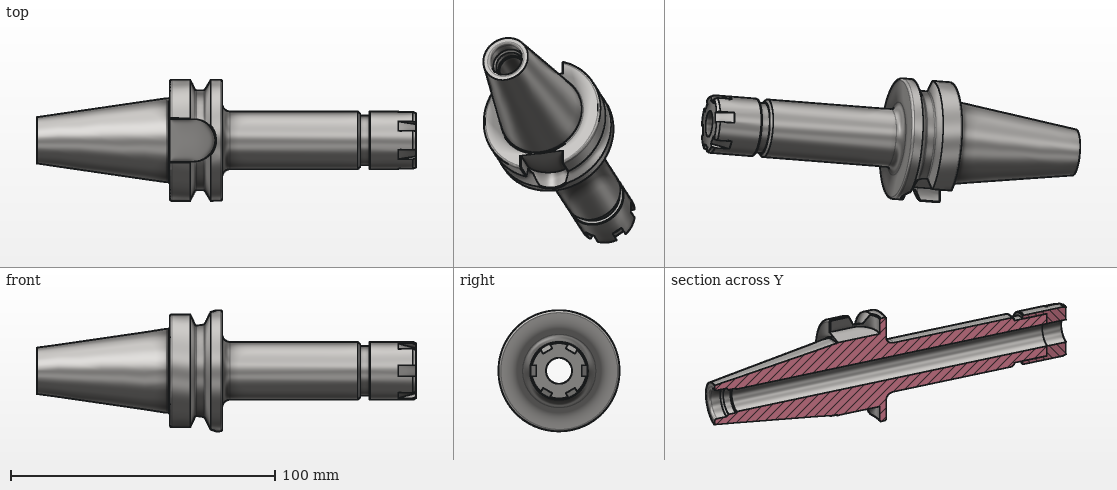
import cadquery as cq
import math


total_length = 143.6
taper_end = 49.0
flange_start = 50.3
groove_start = 58.0
groove_floor_start = 60.0
groove_floor_end = 63.5
groove_end = 65.9
flange_end = 70.2
shank_end = 122.5
nut_start = 125.8

taper_large_radius = 16.0
taper_ratio = 7 / 24
taper_small_radius = taper_large_radius - taper_end * taper_ratio / 2
flange_radius = 23.0
groove_floor_radius = 19.0
shank_radius = 22.0 / 2
spigot_radius = 9.5
bore_radius = 4.9

flange_edge_fillet = 0.9
groove_root_fillet = 0.6
neck_root_fillet = 0.5
drive_slot_chamfer = 0.5
shank_root_fillet = 2.9
shank_end_chamfer = 1.0

mouth_radius = 7.2
counterbore_radius = 6.2
counterbore_depth = 4.9
thread_radius = 5.3
thread_depth = 8.6

drive_slot_width = 16.1
drive_slot_end = 67.5
drive_slot_floor = 16.2

nut_start_chamfer_length = 0.5
nut_start_chamfer_height = 0.22
nut_end_chamfer_length = 1.3
nut_end_chamfer_height = 0.6
nut_front_wall = 7.8
wrench_slot_count = 6
wrench_slot_width = 4.0
wrench_slot_start = 136.7
wrench_slot_start_radius = 10.8
wrench_slot_end_radius = 8.6

spigot_end = total_length - nut_front_wall

selection_margin = 0.1


def circles_centred_at(position):
    """Selector for the circular edges whose centre is on the X axis at this position."""
    margin = selection_margin
    return cq.selectors.BoxSelector(
        (position - margin, -margin, -margin), (position + margin, margin, margin)
    )


def turned_holder():
    """Revolved outside of the holder: taper, grooved flange, shank and spigot."""
    fillet_drop = shank_root_fillet * (1 - math.sqrt(0.5))
    profile = (
        cq.Workplane("XY")
        .moveTo(0, 0)
        .lineTo(0, taper_small_radius)
        .lineTo(taper_end, taper_large_radius)
        .lineTo(flange_start - neck_root_fillet, taper_large_radius)
        .radiusArc((flange_start, taper_large_radius + neck_root_fillet), -neck_root_fillet)
        .lineTo(flange_start, flange_radius - flange_edge_fillet)
        .radiusArc((flange_start + flange_edge_fillet, flange_radius), flange_edge_fillet)
        .lineTo(groove_start, flange_radius)
        .lineTo(groove_floor_start, groove_floor_radius)
        .lineTo(groove_floor_end, groove_floor_radius)
        .lineTo(groove_end, flange_radius)
        .lineTo(flange_end - flange_edge_fillet, flange_radius)
        .radiusArc((flange_end, flange_radius - flange_edge_fillet), flange_edge_fillet)
        .lineTo(flange_end, shank_radius + shank_root_fillet)
        .threePointArc(
            (flange_end + fillet_drop, shank_radius + fillet_drop),
            (flange_end + shank_root_fillet, shank_radius),
        )
        .lineTo(shank_end - shank_end_chamfer, shank_radius)
        .lineTo(shank_end, shank_radius - shank_end_chamfer)
        .lineTo(shank_end, spigot_radius)
        .lineTo(spigot_end, spigot_radius)
        .lineTo(spigot_end, 0)
        .close()
    )
    body = profile.revolve(360, (0, 0, 0), (1, 0, 0))
    for corner in (groove_floor_start, groove_floor_end):
        body = body.edges(circles_centred_at(corner)).fillet(groove_root_fillet)
    return body


def drawbar_hole():
    """Rounded mouth, counterbore, thread bore and through bore, as one cutting tool."""
    mouth_rounding = mouth_radius - counterbore_radius
    return (
        cq.Workplane("XY")
        .moveTo(0, 0)
        .lineTo(0, mouth_radius)
        .radiusArc((mouth_rounding, counterbore_radius), -mouth_rounding)
        .lineTo(counterbore_depth, counterbore_radius)
        .lineTo(counterbore_depth + counterbore_radius - thread_radius, thread_radius)
        .lineTo(thread_depth, thread_radius)
        .lineTo(thread_depth + thread_radius - bore_radius, bore_radius)
        .lineTo(spigot_end, bore_radius)
        .lineTo(spigot_end, 0)
        .close()
        .revolve(360, (0, 0, 0), (1, 0, 0))
    )


def drive_slot():
    """Cutter for the upper drive slot: open at the taper side, round at the other end."""
    half_width = drive_slot_width / 2
    round_start = drive_slot_end - half_width
    return (
        cq.Workplane("XY", origin=(0, 0, drive_slot_floor))
        .moveTo(flange_start, -half_width)
        .lineTo(round_start, -half_width)
        .threePointArc((drive_slot_end, 0), (round_start, half_width))
        .lineTo(flange_start, half_width)
        .close()
        .extrude(flange_radius)
    )


def chamfer_drive_slot_rim(holder, angle):
    """Break the edges where one drive slot runs out through the flange cylinder."""
    half_width = drive_slot_width / 2 + selection_margin
    side = math.cos(math.radians(angle))
    rim_bottom = side * math.sqrt(flange_radius**2 - half_width**2)
    rim_top = side * (flange_radius + selection_margin)
    straight_edges = (flange_start + flange_edge_fillet, groove_start)
    round_edge = (groove_end, drive_slot_end)
    for start, end in (straight_edges, round_edge):
        rim = cq.selectors.BoxSelector(
            (start - selection_margin, -half_width, rim_bottom),
            (end + selection_margin, half_width, rim_top),
            boundingbox=True,
        )
        holder = holder.edges(rim).chamfer(drive_slot_chamfer)
    return holder


def make_holder():
    holder = turned_holder().cut(drawbar_hole())
    for angle in (0, 180):
        holder = holder.cut(drive_slot().rotate((0, 0, 0), (1, 0, 0), angle))
        holder = chamfer_drive_slot_rim(holder, angle)
    return holder


def wrench_slot():
    """Cutter for the wrench slot on the +Y side; its floor slopes inward toward the front."""
    return (
        cq.Workplane("XY")
        .moveTo(wrench_slot_start, wrench_slot_start_radius)
        .lineTo(total_length, wrench_slot_end_radius)
        .lineTo(total_length, flange_radius)
        .lineTo(wrench_slot_start, flange_radius)
        .close()
        .extrude(wrench_slot_width / 2, both=True)
    )


def make_nut():
    nut = (
        cq.Workplane("XY")
        .moveTo(nut_start, spigot_radius)
        .lineTo(nut_start, shank_radius - nut_start_chamfer_height)
        .lineTo(nut_start + nut_start_chamfer_length, shank_radius)
        .lineTo(total_length - nut_end_chamfer_length, shank_radius)
        .lineTo(total_length, shank_radius - nut_end_chamfer_height)
        .lineTo(total_length, bore_radius)
        .lineTo(spigot_end, bore_radius)
        .lineTo(spigot_end, spigot_radius)
        .close()
        .revolve(360, (0, 0, 0), (1, 0, 0))
    )
    for index in range(wrench_slot_count):
        angle = index * 360 / wrench_slot_count
        nut = nut.cut(wrench_slot().rotate((0, 0, 0), (1, 0, 0), angle))
    return nut


holder = make_holder()
nut = make_nut()

result = cq.Compound.makeCompound([holder.val(), nut.val()])